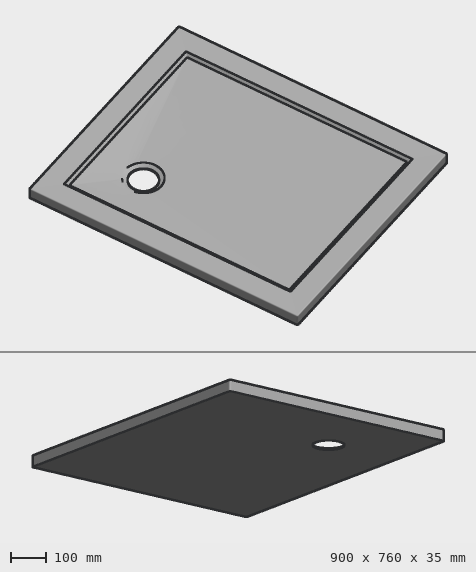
import cadquery as cq
import math

LENGTH = 900.0
WIDTH = 760.0
HEIGHT = 35.0
CORNER_RADIUS = 5.0
TOP_EDGE_RADIUS = 4.0

RIM_WIDTH = 71.0
RIM_DROP = 2.0
STEP_WIDTH = 11.0
STEP_DROP = 8.0
FLOOR_CORNER_RADIUS = 3.0

DRAIN_X = -220.0
DRAIN_Y = -148.5
DRAIN_RADIUS = 44.0
DRAIN_TOP_RADIUS = 59.0
DRAIN_SEAT_DEPTH = 7.0
FLOOR_FALL = 14.0
DRAIN_CORNER_ANGLE = 39.0
VALLEY_ARC_ANGLE = 1.0
CREASE_ANGLE = 23.0
CREASE_Y = 180.0

RIM_INNER_Z = HEIGHT - RIM_DROP
FLOOR_EDGE_Z = RIM_INNER_Z - STEP_DROP
DRAIN_TOP_Z = FLOOR_EDGE_Z - FLOOR_FALL
DRAIN_SEAT_Z = DRAIN_TOP_Z - DRAIN_SEAT_DEPTH
RIM_INNER_LENGTH = LENGTH - 2 * RIM_WIDTH
RIM_INNER_WIDTH = WIDTH - 2 * RIM_WIDTH
FLOOR_LENGTH = RIM_INNER_LENGTH - 2 * STEP_WIDTH
FLOOR_WIDTH = RIM_INNER_WIDTH - 2 * STEP_WIDTH
SHARP_RADIUS = 0.2


def rounded_outline(length, width, radius, z, crease_y=None):
    """Rounded rectangle, counterclockwise from the lower right corner arc.

    With crease_y, both straight ends are divided at that Y.
    """
    half_x = length / 2
    half_y = width / 2
    flat_x = half_x - radius
    flat_y = half_y - radius
    bulge = radius * math.sqrt(0.5)
    path = cq.Workplane("XY", origin=(0, 0, z)).moveTo(flat_x, -half_y)
    path = path.threePointArc((flat_x + bulge, -flat_y - bulge), (half_x, -flat_y))
    if crease_y is not None:
        path = path.lineTo(half_x, crease_y)
    path = path.lineTo(half_x, flat_y)
    path = path.threePointArc((flat_x + bulge, flat_y + bulge), (flat_x, half_y))
    path = path.lineTo(-flat_x, half_y)
    path = path.threePointArc((-flat_x - bulge, flat_y + bulge), (-half_x, flat_y))
    if crease_y is not None:
        path = path.lineTo(-half_x, crease_y)
    path = path.lineTo(-half_x, -flat_y)
    path = path.threePointArc((-flat_x - bulge, -flat_y - bulge), (-flat_x, -half_y))
    return path.close().val()


def drain_point(angle):
    return (
        DRAIN_X + DRAIN_TOP_RADIUS * math.cos(math.radians(angle)),
        DRAIN_Y + DRAIN_TOP_RADIUS * math.sin(math.radians(angle)),
    )


def drain_outline():
    """Drain circle divided into arcs that pair with the edges of the floor outline."""
    before = DRAIN_CORNER_ANGLE - VALLEY_ARC_ANGLE / 2
    after = DRAIN_CORNER_ANGLE + VALLEY_ARC_ANGLE / 2
    angles = [
        -after, -before, CREASE_ANGLE, before, after,
        180 - after, 180 - before, 180 - CREASE_ANGLE, 180 + before, 180 + after,
        360 - after,
    ]
    path = cq.Workplane("XY", origin=(0, 0, DRAIN_TOP_Z)).moveTo(*drain_point(angles[0]))
    for start, end in zip(angles, angles[1:]):
        path = path.threePointArc(drain_point((start + end) / 2), drain_point(end))
    return path.wire().val()


def ruled_solid(lower, upper):
    return cq.Workplane(obj=cq.Solid.makeLoft([lower, upper], True))


def tray_blank():
    blank = cq.Workplane("XY").box(LENGTH, WIDTH, HEIGHT, centered=(True, True, False))
    blank = blank.edges("|Z").fillet(CORNER_RADIUS)
    return blank.faces(">Z").edges().fillet(TOP_EDGE_RADIUS)


def basin_cuts():
    rim_outer = rounded_outline(
        LENGTH - 2 * TOP_EDGE_RADIUS,
        WIDTH - 2 * TOP_EDGE_RADIUS,
        CORNER_RADIUS - TOP_EDGE_RADIUS,
        HEIGHT,
    )
    rim_inner = rounded_outline(RIM_INNER_LENGTH, RIM_INNER_WIDTH, SHARP_RADIUS, RIM_INNER_Z)
    floor_edge = rounded_outline(FLOOR_LENGTH, FLOOR_WIDTH, FLOOR_CORNER_RADIUS, FLOOR_EDGE_Z)
    creased_edge = rounded_outline(
        FLOOR_LENGTH, FLOOR_WIDTH, FLOOR_CORNER_RADIUS, FLOOR_EDGE_Z, CREASE_Y
    )
    return [
        ruled_solid(rim_inner, rim_outer),
        ruled_solid(floor_edge, rim_inner),
        ruled_solid(drain_outline(), creased_edge),
    ]


def drain_cut():
    seat = cq.Solid.makeCone(
        DRAIN_RADIUS, DRAIN_TOP_RADIUS, DRAIN_SEAT_DEPTH, pnt=(DRAIN_X, DRAIN_Y, DRAIN_SEAT_Z)
    )
    bore = cq.Solid.makeCylinder(DRAIN_RADIUS, DRAIN_SEAT_Z, pnt=(DRAIN_X, DRAIN_Y, 0))
    return cq.Workplane(obj=seat).union(cq.Workplane(obj=bore))


result = tray_blank()
for cut in basin_cuts():
    result = result.cut(cut)
result = result.cut(drain_cut())